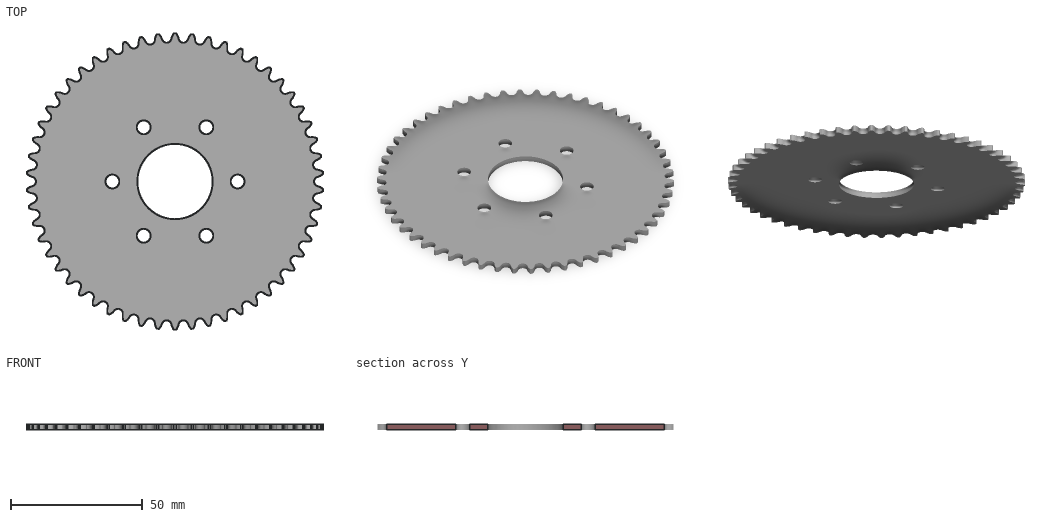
import cadquery as cq
import math

outside_diameter = 112.8
thickness = 2.3

tooth_count = 54
pitch_diameter = 109.5
seat_radius = 1.8
flank_radius = 4.5
tip_width = 0.8

bore_diameter = 28.5
bolt_count = 6
bolt_circle_diameter = 47.6
bolt_hole_diameter = 5.2

tooth_angle = 2 * math.pi / tooth_count
outside_radius = outside_diameter / 2
pitch_radius = pitch_diameter / 2
tip_half_angle = math.asin(tip_width / outside_diameter)


def polar(radius, angle):
    """Point at a radius and angle about the sprocket axis."""
    return cq.Vector(radius * math.cos(angle), radius * math.sin(angle))


def flank_center_from(tip_corner, seat_center):
    """Center of the flank arc that ends at the tip corner and is tangent to the roller seat."""
    reach = flank_radius + seat_radius
    to_seat = seat_center - tip_corner
    distance = to_seat.Length
    along = (distance**2 + flank_radius**2 - reach**2) / (2 * distance)
    across = math.sqrt(flank_radius**2 - along**2)
    unit_along = to_seat.normalized()
    unit_across = cq.Vector(unit_along.y, -unit_along.x)
    return tip_corner + unit_along * along - unit_across * across


def mirrored(point):
    """Mirror image of a point across the X axis."""
    return cq.Vector(point.x, -point.y)


def rotated(point, angle):
    """Point turned about the sprocket axis."""
    return polar(point.Length, math.atan2(point.y, point.x) + angle)


def tooth_outline():
    """Closed outline of narrow tips, convex flanks and concave roller seats."""
    seat_center = polar(pitch_radius, 0)
    seat_bottom = polar(pitch_radius - seat_radius, 0)
    lower_corner = polar(outside_radius, tip_half_angle - tooth_angle / 2)
    flank_center = flank_center_from(lower_corner, seat_center)
    flank_end = flank_center + (seat_center - flank_center).normalized() * flank_radius
    flank_chord_middle = (lower_corner + flank_end) * 0.5
    flank_middle = flank_center + (flank_chord_middle - flank_center).normalized() * flank_radius
    next_tip = polar(outside_radius, tooth_angle / 2)
    next_corner = polar(outside_radius, tooth_angle / 2 + tip_half_angle)

    gap_arcs = [
        (flank_middle, flank_end),
        (seat_bottom, mirrored(flank_end)),
        (mirrored(flank_middle), mirrored(lower_corner)),
        (next_tip, next_corner),
    ]

    first_gap = math.pi / 2 + tooth_angle / 2
    start = rotated(lower_corner, first_gap)
    outline = cq.Workplane("XY").moveTo(start.x, start.y)
    for index in range(tooth_count):
        gap_angle = first_gap + index * tooth_angle
        for middle, end in gap_arcs:
            arc_middle = rotated(middle, gap_angle)
            arc_end = rotated(end, gap_angle)
            outline = outline.threePointArc((arc_middle.x, arc_middle.y), (arc_end.x, arc_end.y))
    return outline.close()


plate = tooth_outline().extrude(thickness)

bore = cq.Workplane("XY").circle(bore_diameter / 2).extrude(thickness)

bolt_holes = (
    cq.Workplane("XY")
    .polarArray(bolt_circle_diameter / 2, 0, 360, bolt_count)
    .circle(bolt_hole_diameter / 2)
    .extrude(thickness)
)

result = plate.cut(bore).cut(bolt_holes)